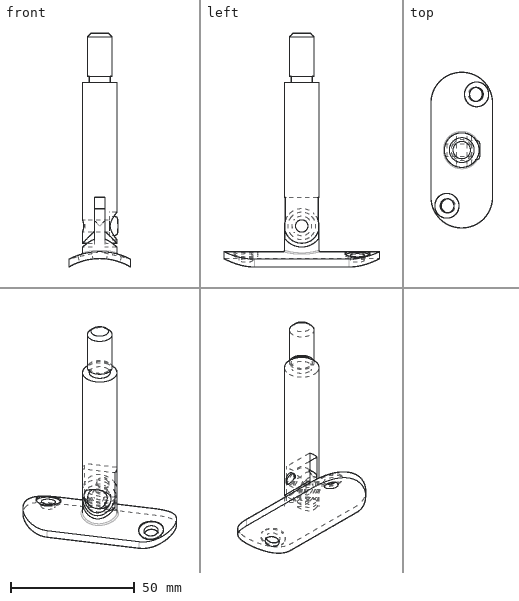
import cadquery as cq
import math

hinge_z = 16.6
total_height = 94.5

post_radius = 7.0
post_top_z = 74.6
neck_radius = 4.3
stud_radius = 5.0
stud_bottom_z = 77.05
stud_chamfer = 1.5
slot_width = 4.1
slot_top_z = 28.2

plate_width = 25.0
plate_length = 63.0
plate_inner_radius = 24.6
plate_thickness = 2.8
plate_axis_z = -math.sqrt(plate_inner_radius**2 - (plate_width / 2) ** 2)
plate_outer_radius = plate_inner_radius + plate_thickness
shoulder_radius = 8.5
boss_fillet = 0.6
boss_start_z = 4.3

screw_y = 22.5
screw_angle = 12.9
screw_hole_radius = 2.8
screw_recess_radius = 5.0
screw_recess_depth = 0.8

pin_diameter = 5.0
pin_radius = pin_diameter / 2
pin_end_x = -6.05
head_radius = 4.0
head_top_x = 7.4
head_recess_radius = 5.6
head_seat_x = 4.0


def x_cylinder(radius, start_x, end_x):
    """Cylinder on the hinge axis between two X positions."""
    return cq.Workplane("YZ", origin=(start_x, 0, hinge_z)).circle(radius).extrude(end_x - start_x)


def z_cylinder(radius, bottom_z, top_z):
    """Cylinder on the post axis between two heights."""
    return cq.Workplane("XY", origin=(0, 0, bottom_z)).circle(radius).extrude(top_z - bottom_z)


def make_post():
    post = z_cylinder(post_radius, hinge_z, post_top_z)
    rounded_end = z_cylinder(post_radius, hinge_z - post_radius, hinge_z).intersect(
        x_cylinder(post_radius, -post_radius, post_radius)
    )
    neck = z_cylinder(neck_radius, post_top_z, stud_bottom_z)
    stud = z_cylinder(stud_radius, stud_bottom_z, total_height).faces(">Z").chamfer(stud_chamfer)
    post = post.union(rounded_end).union(neck).union(stud)

    slot_bottom_z = hinge_z - post_radius
    slot = (
        cq.Workplane("XY", origin=(0, 0, slot_bottom_z))
        .rect(slot_width, 2 * post_radius)
        .extrude(slot_top_z - slot_bottom_z)
    )
    pin_hole = x_cylinder(pin_radius, -post_radius, post_radius)
    head_recess = x_cylinder(head_recess_radius, head_seat_x, post_radius)
    return post.cut(slot).cut(pin_hole).cut(head_recess)


def make_plate():
    """Slot-shaped outline cut from a cylindrical shell whose axis runs along Y."""
    shell = (
        cq.Workplane("XZ", origin=(0, plate_length / 2, plate_axis_z))
        .circle(plate_outer_radius)
        .circle(plate_inner_radius)
        .extrude(plate_length)
    )
    outline = cq.Workplane("XY").slot2D(plate_length, plate_width, 90).extrude(plate_outer_radius)
    return shell.intersect(outline)


def make_screw_hole(side):
    """Stepped cutter for the hole at the +Y (side = 1) or -Y (side = -1) end."""
    recess_floor = plate_outer_radius - screw_recess_depth
    hole = cq.Workplane("XY").circle(screw_hole_radius).extrude(plate_outer_radius)
    recess = (
        cq.Workplane("XY", origin=(0, 0, recess_floor))
        .circle(screw_recess_radius)
        .extrude(2 * screw_recess_depth)
    )
    cutter = hole.union(recess).rotate((0, 0, 0), (0, 1, 0), side * screw_angle)
    return cutter.translate((0, side * screw_y, plate_axis_z))


def make_base():
    plate = make_plate()
    for side in (-1, 1):
        plate = plate.cut(make_screw_hole(side))

    boss = z_cylinder(post_radius, boss_start_z, hinge_z)
    base = plate.union(boss)
    foot_region = cq.selectors.BoxSelector(
        (-plate_width / 2, -shoulder_radius, boss_start_z),
        (plate_width / 2, shoulder_radius, hinge_z - shoulder_radius),
        boundingbox=True,
    )
    base = base.edges(foot_region).fillet(boss_fillet)

    crown = z_cylinder(post_radius, hinge_z, hinge_z + post_radius).intersect(
        x_cylinder(post_radius, -post_radius, post_radius)
    )
    base = base.union(crown)
    half_slot = slot_width / 2
    for start_x, end_x in ((-post_radius, -half_slot), (half_slot, post_radius)):
        base = base.cut(x_cylinder(shoulder_radius, start_x, end_x))
    return base.cut(x_cylinder(pin_radius, -half_slot, half_slot))


def make_pin():
    shank = x_cylinder(pin_radius, pin_end_x, head_seat_x)
    head = (
        cq.Workplane("XY", origin=(0, 0, hinge_z))
        .moveTo(head_seat_x, 0)
        .lineTo(head_seat_x, head_radius)
        .bezier(
            [
                (head_seat_x, head_radius),
                (head_top_x, head_radius),
                (head_top_x, head_radius),
                (head_top_x, 0),
            ]
        )
        .close()
        .revolve(360, (0, 0, 0), (1, 0, 0))
    )
    return shank.union(head)


post = make_post()
base = make_base()
pin = make_pin()
result = cq.Compound.makeCompound([post.val(), base.val(), pin.val()])